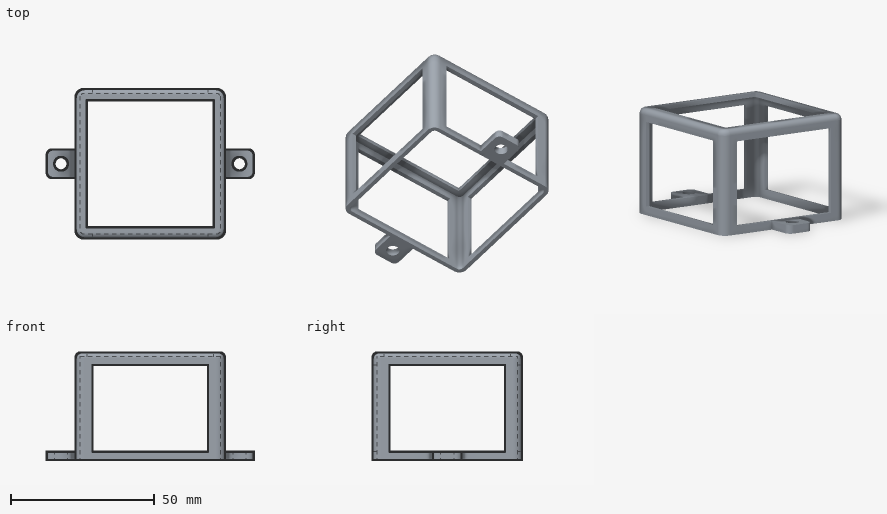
import cadquery as cq

total_length = 72.0
frame_side = 52.0
frame_height = 37.5

wall = 1.5
corner_radius = 3.0
inner_corner_radius = corner_radius - wall
top_edge_radius = 2.0
cavity_side = frame_side - 2 * wall

top_opening_side = 44.0
window_width = 40.0
window_height = 30.0
window_sill = 3.0

tab_width = 10.0
tab_thickness = window_sill
tab_corner_radius = 2.0
hole_diameter = 4.6
hole_spacing = total_length - tab_width


def make_shell():
    """Rounded box, open at the bottom, with a square hole in its roof."""
    outer = (
        cq.Workplane("XY")
        .rect(frame_side, frame_side)
        .extrude(frame_height)
        .edges("|Z")
        .fillet(corner_radius)
        .faces(">Z")
        .edges()
        .fillet(top_edge_radius)
    )
    cavity = (
        cq.Workplane("XY")
        .rect(cavity_side, cavity_side)
        .extrude(frame_height - wall)
        .edges("|Z")
        .fillet(inner_corner_radius)
    )
    roof_opening = cq.Workplane("XY").rect(top_opening_side, top_opening_side).extrude(frame_height)
    return outer.cut(cavity).cut(roof_opening)


def cut_windows(shell):
    """Cut a rectangular window through each of the four walls."""
    window_centre = window_sill + window_height / 2
    for length_x, length_y in ((window_width, frame_side), (frame_side, window_width)):
        cutter = cq.Workplane("XY").box(length_x, length_y, window_height)
        shell = shell.cut(cutter.translate((0, 0, window_centre)))
    return shell


def make_tabs():
    """Mounting tabs on the -X and +X walls, kept clear of the cavity."""
    return (
        cq.Workplane("XY")
        .rect(total_length, tab_width)
        .extrude(tab_thickness)
        .edges("|Z")
        .fillet(tab_corner_radius)
        .cut(cq.Workplane("XY").rect(cavity_side, cavity_side).extrude(tab_thickness))
        .faces(">Z")
        .workplane(origin=(0, 0, tab_thickness))
        .pushPoints([(-hole_spacing / 2, 0), (hole_spacing / 2, 0)])
        .hole(hole_diameter)
    )


result = cut_windows(make_shell()).union(make_tabs())